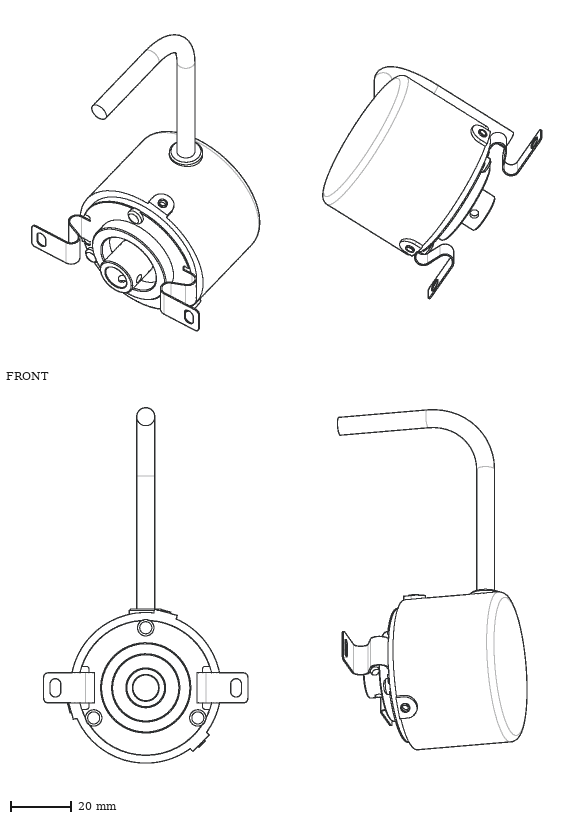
import cadquery as cq
import math


overall_width = 68.0
overall_depth = 58.5
overall_height = 118.2

housing_radius = 25.0
housing_length = 34.0
housing_back_fillet = 2.0

plate_radius = 22.5
sheet_radius = 22.3
sheet_thickness = 0.5
sheet_front = 2.8
plate_thickness = sheet_front - sheet_thickness

ring_outer_radius = 15.0
ring_inner_radius = 11.0
ring_front = 7.5
edge_chamfer = 0.4

shaft_radius = 6.6
shaft_front = 14.8
bore_radius = 4.3
bore_chamfer = 0.2
bore_depth = 20.1
drill_tip_angle = 118.0
shaft_hole_diameter = 3.0
shaft_hole_setback = 4.0

screw_circle_radius = 20.0
screw_angles = (90, 210, 330)
screw_head_radius = 2.7
screw_head_height = 1.8
screw_head_chamfer = 0.7

pad_angles = (75, 195, 315)
pad_height = 26.0
pad_radius = 3.9
pad_center = 2.6
set_screw_radius = 1.5
set_screw_rise = 0.5
socket_radius = 1.1
set_screw_top = pad_height + set_screw_rise
socket_depth = 1.2

arm_width = 10.0
arm_tip = overall_width / 2
arm_front = 15.2
arm_bend_radius = 2.7
outer_bend_x = 22.5
inner_bend_x = 20.0
arm_root_x = 18.9
arm_corner_radius = 1.5
arm_slot_x = 30.0
arm_slot_length = 6.0
arm_slot_width = 3.5
relief_height = 2.1
relief_corner_radius = 0.8

cable_diameter = 6.0
cable_y = 25.5
cable_top = overall_height - housing_radius
cable_bend_radius = 19.7
cable_end = overall_depth - housing_length
grommet_radius = 5.5
grommet_top = 26.2
grommet_chamfer = 0.6


def front_cylinder(radius, start, end):
    """Cylinder on the shaft axis between two distances in front of the housing."""
    return cq.Workplane("XZ").workplane(offset=start).circle(radius).extrude(end - start)


def make_housing():
    shell = front_cylinder(housing_radius, -housing_length, 0)
    shell = shell.faces(">Y").edges().fillet(housing_back_fillet)
    return shell.union(front_cylinder(plate_radius, 0, plate_thickness))


def make_pad(angle):
    """Flat clamping pad, built on the +Z side and turned about the shaft axis."""
    outline = (
        cq.Workplane("XY")
        .moveTo(-pad_radius, 0)
        .lineTo(pad_radius, 0)
        .lineTo(pad_radius, pad_center)
        .threePointArc((0, pad_center + pad_radius), (-pad_radius, pad_center))
        .close()
    )
    pad = outline.extrude(pad_height)
    screw = cq.Workplane("XY").center(0, pad_center).circle(set_screw_radius).extrude(set_screw_top)
    return pad.union(screw).rotate((0, 0, 0), (0, 1, 0), 90 - angle)


def make_socket(angle):
    socket = (
        cq.Workplane("XY")
        .workplane(offset=set_screw_top)
        .center(0, pad_center)
        .circle(socket_radius)
        .extrude(-socket_depth)
    )
    return socket.rotate((0, 0, 0), (0, 1, 0), 90 - angle)


def make_ring():
    ring = front_cylinder(ring_outer_radius, sheet_front, ring_front)
    ring = ring.cut(front_cylinder(ring_inner_radius, sheet_front, ring_front))
    return ring.faces("<Y").edges().chamfer(edge_chamfer)


def make_shaft():
    return front_cylinder(shaft_radius, 0, shaft_front).faces("<Y").edges().chamfer(edge_chamfer)


def make_bore():
    """Blind bore with a chamfered mouth and a conical drill tip, revolved about the shaft axis."""
    tip_length = bore_radius / math.tan(math.radians(drill_tip_angle / 2))
    bottom = bore_depth - shaft_front
    half_section = [
        (0, -shaft_front),
        (bore_radius + bore_chamfer, -shaft_front),
        (bore_radius, -shaft_front + bore_chamfer),
        (bore_radius, bottom),
        (0, bottom + tip_length),
    ]
    return cq.Workplane("XY").polyline(half_section).close().revolve(360, (0, 0, 0), (0, 1, 0))


def make_shaft_holes():
    """Set-screw holes through the shaft wall, towards +X and -Z."""
    hole_y = shaft_hole_setback - shaft_front
    hole_radius = shaft_hole_diameter / 2
    side = cq.Workplane("YZ").center(hole_y, 0).circle(hole_radius).extrude(shaft_radius)
    below = cq.Workplane("XY").center(0, hole_y).circle(hole_radius).extrude(-shaft_radius)
    return side.union(below)


def make_screw(angle):
    x = screw_circle_radius * math.cos(math.radians(angle))
    z = screw_circle_radius * math.sin(math.radians(angle))
    head = (
        cq.Workplane("XZ")
        .workplane(offset=plate_thickness)
        .center(x, z)
        .circle(screw_head_radius)
        .extrude(sheet_thickness + screw_head_height)
    )
    return head.faces("<Y").edges().chamfer(screw_head_chamfer)


def make_arm():
    """S-bent spring arm on the +X side: two bends joined by their common inner tangent."""
    half = sheet_thickness / 2
    outer_bend_y = -(sheet_front - half) - arm_bend_radius
    inner_bend_y = -(arm_front - half) + arm_bend_radius
    dx = inner_bend_x - outer_bend_x
    dy = inner_bend_y - outer_bend_y
    tangent_angle = math.atan2(dy, dx) + math.acos(2 * arm_bend_radius / math.hypot(dx, dy))
    nx = math.cos(tangent_angle)
    ny = math.sin(tangent_angle)
    large = arm_bend_radius + half
    small = arm_bend_radius - half

    def on_outer_bend(radius):
        """Point where the tangent leaves the outer bend."""
        return (outer_bend_x + radius * nx, outer_bend_y + radius * ny)

    def on_inner_bend(radius):
        """Point where the tangent meets the inner bend."""
        return (inner_bend_x - radius * nx, inner_bend_y - radius * ny)

    profile = (
        cq.Workplane("XY")
        .moveTo(arm_root_x, outer_bend_y + large)
        .lineTo(outer_bend_x, outer_bend_y + large)
        .threePointArc((outer_bend_x + large, outer_bend_y), on_outer_bend(large))
        .lineTo(*on_inner_bend(small))
        .threePointArc((inner_bend_x - small, inner_bend_y), (inner_bend_x, inner_bend_y - small))
        .lineTo(arm_tip, inner_bend_y - small)
        .lineTo(arm_tip, inner_bend_y - large)
        .lineTo(inner_bend_x, inner_bend_y - large)
        .threePointArc((inner_bend_x - large, inner_bend_y), on_inner_bend(large))
        .lineTo(*on_outer_bend(small))
        .threePointArc((outer_bend_x + small, outer_bend_y), (outer_bend_x, outer_bend_y + small))
        .lineTo(arm_root_x, outer_bend_y + small)
        .close()
    )
    arm = profile.extrude(arm_width / 2, both=True)
    arm = arm.faces(">X").edges("|Y").fillet(arm_corner_radius)
    slot = (
        cq.Workplane("XZ")
        .center(arm_slot_x, 0)
        .slot2D(arm_slot_length, arm_slot_width, 90)
        .extrude(arm_front)
    )
    return arm.cut(slot)


def make_relief():
    """Notch in the sheet on both sides of the +X arm root."""
    length = plate_radius - arm_root_x
    height = arm_width + 2 * relief_height
    notch = (
        cq.Workplane("XZ")
        .workplane(offset=plate_thickness)
        .center(arm_root_x + length / 2, 0)
        .rect(length, height)
        .extrude(sheet_thickness)
    )
    return notch.edges("|Y and <X").fillet(relief_corner_radius)


def make_spring():
    sheet = front_cylinder(sheet_radius, plate_thickness, sheet_front)
    relief = make_relief()
    arm = make_arm()
    sheet = sheet.cut(relief).cut(relief.mirror("YZ"))
    return sheet.union(arm).union(arm.mirror("YZ"))


def make_grommet():
    grommet = cq.Workplane("XY").center(0, cable_y).circle(grommet_radius).extrude(grommet_top)
    return grommet.faces(">Z").edges().chamfer(grommet_chamfer)


def make_cable():
    """Cable rising from the housing and bending forward over it."""
    center_z = cable_top - cable_diameter / 2
    bend_y = cable_y - cable_bend_radius
    bend_z = center_z - cable_bend_radius
    diagonal = cable_bend_radius * math.sqrt(0.5)
    path = (
        cq.Workplane("YZ")
        .moveTo(cable_y, 0)
        .lineTo(cable_y, bend_z)
        .threePointArc((bend_y + diagonal, bend_z + diagonal), (bend_y, center_z))
        .lineTo(-cable_end, center_z)
    )
    return cq.Workplane("XY").center(0, cable_y).circle(cable_diameter / 2).sweep(path)


result = make_housing().union(make_grommet()).union(make_cable())
for pad_angle in pad_angles:
    result = result.union(make_pad(pad_angle)).cut(make_socket(pad_angle))
result = result.union(make_spring())
for screw_angle in screw_angles:
    result = result.union(make_screw(screw_angle))
result = result.union(make_ring())
result = result.union(make_shaft()).cut(make_bore()).cut(make_shaft_holes())